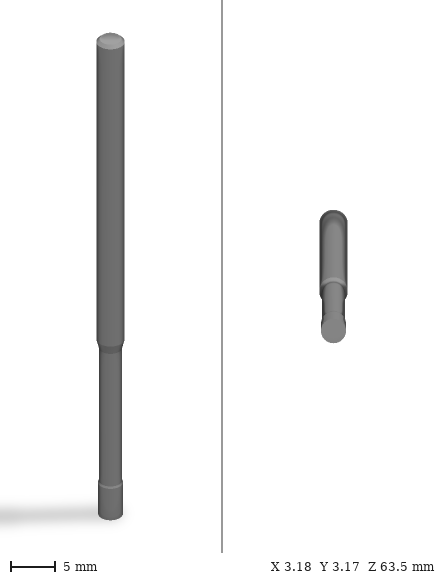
import cadquery as cq

total_length = 63.5
shank_diameter = 3.175
neck_diameter = 2.58
cutter_diameter = 2.79

cutter_length = 4.2
collar_height = 0.25
shank_length = 40.13
taper_length = 1.18
shank_chamfer = 0.38

shank_radius = shank_diameter / 2
neck_radius = neck_diameter / 2
cutter_radius = cutter_diameter / 2
shank_bottom = total_length - shank_length


def make_shank():
    """Shank, tapered shoulder, neck and flared collar, revolved about Z."""
    profile = (
        cq.Workplane("XZ")
        .moveTo(0, cutter_length)
        .lineTo(cutter_radius, cutter_length)
        .lineTo(neck_radius, cutter_length + collar_height)
        .lineTo(neck_radius, shank_bottom - taper_length)
        .lineTo(shank_radius, shank_bottom)
        .lineTo(shank_radius, total_length - shank_chamfer)
        .lineTo(shank_radius - shank_chamfer, total_length)
        .lineTo(0, total_length)
        .close()
    )
    return profile.revolve(360, (0, 0, 0), (0, 1, 0))


def make_cutter():
    """Cutter head: a plain cylinder with a flat tip."""
    return cq.Workplane("XY").circle(cutter_radius).extrude(cutter_length)


shank = make_shank()
cutter = make_cutter()

result = cq.Compound.makeCompound([shank.val(), cutter.val()])